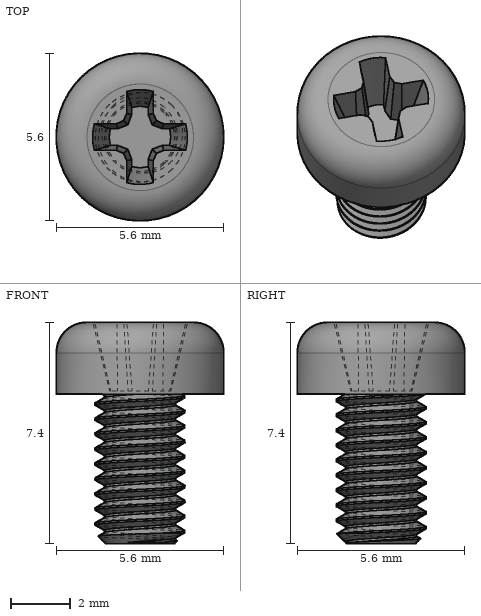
import cadquery as cq
import math

total_height = 7.4
head_diameter = 5.6
head_height = 2.4
head_edge_radius = 1.02
shank_length = total_height - head_height

thread_turns = 10
pitch = shank_length / thread_turns
major_radius = 1.5
minor_radius = 1.19
crest_width = pitch / 8
flank_angle = math.radians(30)
crest_height_at_x_axis = 0.415
end_radius = 1.14
extra_turns = 3
extra_turns_below = 2
ridge_embedding = 0.04
core_overshoot = 3 * pitch
envelope_clearance = 0.02

recess_depth = 2.295
recess_top = {"tip_radius": 1.58, "half_width": 0.445, "wing_root": 0.785, "corner": 0.55}
recess_floor = {"tip_radius": 1.02, "half_width": 0.275, "wing_root": 0.755, "corner": 0.41}


def make_head():
    return (
        cq.Workplane("XY", origin=(0, 0, shank_length))
        .circle(head_diameter / 2)
        .extrude(head_height)
        .faces(">Z")
        .edges()
        .fillet(head_edge_radius)
    )


def make_thread_ridge():
    """Helical ridge, rooted inside the core, that runs past both ends of the shank."""
    root_radius = minor_radius - ridge_embedding
    half_crest = crest_width / 2
    half_root = half_crest + (major_radius - root_radius) * math.tan(flank_angle)
    corners = [
        (root_radius, -half_root),
        (major_radius, -half_crest),
        (major_radius, half_crest),
        (root_radius, half_root),
    ]
    start_height = crest_height_at_x_axis - extra_turns_below * pitch
    ridge_height = (thread_turns + extra_turns) * pitch
    helices = [
        cq.Wire.makeHelix(pitch, ridge_height, radius).translate(cq.Vector(0, 0, start_height + offset))
        for radius, offset in corners
    ]
    faces = [
        cq.Face.makeRuledSurface(helices[i - 1], helices[i])
        for i in range(len(helices))
    ]
    for end_height in (start_height, start_height + ridge_height):
        end_corners = [cq.Vector(radius, 0, end_height + offset) for radius, offset in corners]
        faces.append(cq.Face.makeFromWires(cq.Wire.makePolygon(end_corners, close=True)))
    return cq.Workplane(obj=cq.Solid.makeSolid(cq.Shell.makeShell(faces)))


def make_shank():
    envelope_radius = major_radius + envelope_clearance
    envelope = (
        cq.Workplane("XY")
        .circle(envelope_radius)
        .extrude(shank_length)
        .faces("<Z")
        .chamfer(envelope_radius - end_radius)
    )
    core = (
        cq.Workplane("XY", origin=(0, 0, -core_overshoot))
        .circle(minor_radius)
        .extrude(shank_length + 2 * core_overshoot)
    )
    return core.union(make_thread_ridge()).intersect(envelope)


def draw_cross(plane, tip_radius, half_width, wing_root, corner):
    """Four-winged outline with rounded tips and blunted inner corners."""
    tip_side = math.sqrt(tip_radius**2 - half_width**2)

    def turned(x, y, quarter_turns):
        for _ in range(quarter_turns):
            x, y = -y, x
        return x, y

    outline = plane.moveTo(tip_side, -half_width)
    for wing in range(4):
        outline = (
            outline
            .threePointArc(turned(tip_radius, 0, wing), turned(tip_side, half_width, wing))
            .lineTo(*turned(wing_root, half_width, wing))
            .lineTo(*turned(corner, corner, wing))
            .lineTo(*turned(half_width, wing_root, wing))
            .lineTo(*turned(half_width, tip_side, wing))
        )
    return outline.close()


def make_recess():
    top_plane = cq.Workplane("XY", origin=(0, 0, total_height))
    top_outline = draw_cross(top_plane, **recess_top)
    floor_plane = top_outline.workplane(offset=-recess_depth)
    return draw_cross(floor_plane, **recess_floor).loft(ruled=True)


result = make_head().union(make_shank()).cut(make_recess())